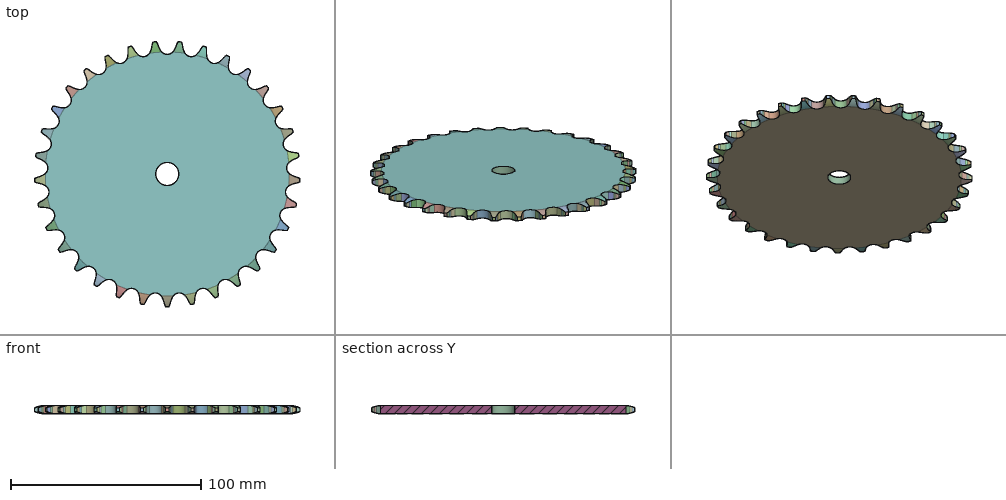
import cadquery as cq
import math

chain_pitch = 12.7
roller_diameter = 7.75

tooth_count = 33
thickness = 4.5
bore_diameter = 12.0
tip_radius = 69.8
relief_start_radius = 64.1
relief_radius = 13.6
first_gap_angle = 90.0

tooth_angle = 360.0 / tooth_count
pitch_radius = chain_pitch / (2 * math.sin(math.pi / tooth_count))
half_thickness = thickness / 2
cutter_overrun = 1.0
cutter_radius = tip_radius + cutter_overrun

seat_clearance = 0.076
seat_radius = (1.005 * roller_diameter + seat_clearance) / 2
seat_half_angle = math.radians(55 - 60 / tooth_count)
working_angle = math.radians(18 - 56 / tooth_count)
topping_angle = math.radians(17 - 64 / tooth_count)
working_centre_offset = 0.8 * roller_diameter
topping_centre_offset = 1.4 * roller_diameter
working_radius = working_centre_offset + seat_radius
straight_length = (
    topping_centre_offset * math.sin(topping_angle)
    - working_centre_offset * math.sin(working_angle)
)
topping_radius = (
    working_centre_offset * math.cos(working_angle)
    + topping_centre_offset * math.cos(topping_angle)
    - working_radius
)


def relief_drop(distance):
    """Drop of the relief arc below the face, at a distance outside its start."""
    return relief_radius - math.sqrt(relief_radius**2 - distance**2)


def make_blank():
    """Disc whose rim is thinned on both faces by an arc tangent to the face."""
    relief_length = tip_radius - relief_start_radius
    mid_radius = relief_start_radius + relief_length / 2
    mid_height = half_thickness - relief_drop(relief_length / 2)
    tip_height = half_thickness - relief_drop(relief_length)
    return (
        cq.Workplane("XZ")
        .moveTo(0, -half_thickness)
        .lineTo(relief_start_radius, -half_thickness)
        .threePointArc((mid_radius, -mid_height), (tip_radius, -tip_height))
        .lineTo(tip_radius, tip_height)
        .threePointArc((mid_radius, mid_height), (relief_start_radius, half_thickness))
        .lineTo(0, half_thickness)
        .close()
        .revolve(360, (0, 0, 0), (0, 1, 0))
    )


def offset_point(origin, distance, angle):
    """Point at a distance from the origin point, in a direction measured from +X."""
    return (
        origin[0] + distance * math.cos(angle),
        origin[1] + distance * math.sin(angle),
    )


def find_tip_corner(topping_centre):
    """Point where the topping curve meets the tip circle, on the gap side."""
    centre_distance = math.hypot(*topping_centre)
    centre_angle = math.atan2(topping_centre[1], topping_centre[0])
    cosine = (centre_distance**2 + tip_radius**2 - topping_radius**2) / (
        2 * centre_distance * tip_radius
    )
    return offset_point((0, 0), tip_radius, centre_angle - math.acos(cosine))


def make_half_gap():
    """Half of one tooth gap, on the +Y side of the +X axis."""
    seat_centre = (pitch_radius, 0)
    seat_bottom = (pitch_radius - seat_radius, 0)
    seat_middle = offset_point(seat_centre, seat_radius, math.pi - seat_half_angle / 2)
    seat_end = offset_point(seat_centre, seat_radius, math.pi - seat_half_angle)

    working_centre = offset_point(seat_centre, working_centre_offset, -seat_half_angle)
    straight_normal = math.pi - seat_half_angle - working_angle
    working_end = offset_point(working_centre, working_radius, straight_normal)
    straight_end = offset_point(working_end, straight_length, straight_normal - math.pi / 2)

    topping_centre = offset_point(straight_end, topping_radius, straight_normal)
    tip_corner = find_tip_corner(topping_centre)
    return (
        cq.Workplane("XY")
        .workplane(offset=-half_thickness)
        .moveTo(*seat_bottom)
        .threePointArc(seat_middle, seat_end)
        .tangentArcPoint(working_end, relative=False)
        .lineTo(*straight_end)
        .tangentArcPoint(tip_corner, relative=False)
        .lineTo(cutter_radius, tip_corner[1])
        .lineTo(cutter_radius, 0)
        .close()
        .extrude(thickness)
    )


def cut_tooth_gaps(blank):
    """Cut every gap between the teeth around the rim."""
    half_gap = make_half_gap()
    gap = half_gap.union(half_gap.mirror("XZ"))
    gaps = cq.Workplane("XY")
    for index in range(tooth_count):
        angle = first_gap_angle + index * tooth_angle
        gaps = gaps.add(gap.rotate((0, 0, 0), (0, 0, 1), angle))
    return blank.cut(cq.Workplane(cq.Compound.makeCompound(gaps.vals())))


def cut_bore(sprocket):
    """Cut the central shaft bore through the disc."""
    bore = cq.Workplane("XY").circle(bore_diameter / 2).extrude(thickness, both=True)
    return sprocket.cut(bore)


result = cut_bore(cut_tooth_gaps(make_blank()))